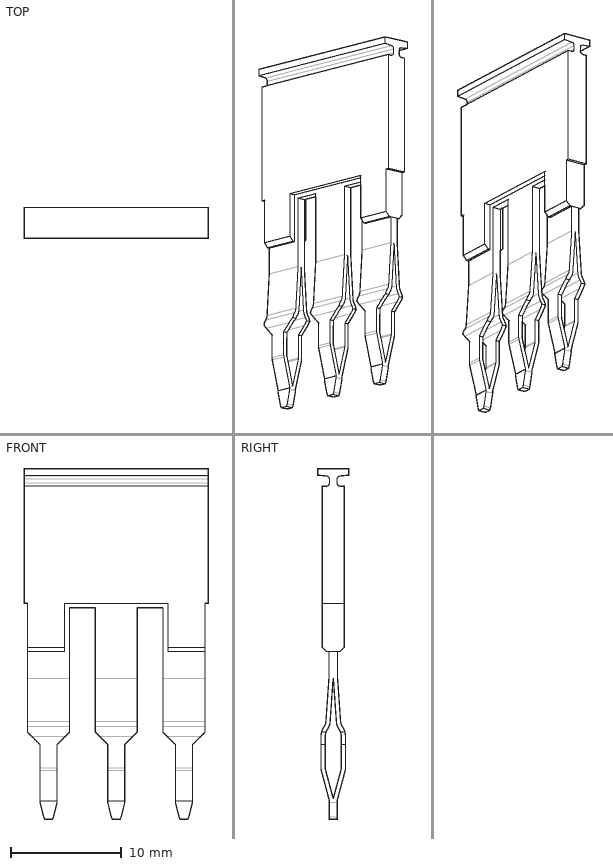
import cadquery as cq
import math


housing_width = 16.6
housing_thickness = 2.0
cap_width = 2.8
cap_edge_height = 0.6
cap_underside_drop = 0.1
neck_thickness = 0.7
neck_fillet = 0.27
selection_margin = 0.01
body_top = -1.57
body_bottom = -12.15
housing_leg_bottom = -16.5
housing_leg_chamfer = 0.4
housing_leg_inner_x = 4.65

pitch = 6.1
leg_count = 3
leg_width = 3.8
stem_thickness = 0.8
bridge_bottom = -12.55
bridge_height = 3.0
end_wall = 0.4

leaf_thickness = stem_thickness / 2
split_level = -18.9
flare_level = -22.8
flare_lean = math.radians(4)
shoulder_lean = math.radians(35)
flare_radius = 0.9
shoulder_radius = 1.55
belly_bottom = -27.0
belly_radius = 0.8
closing_lean = math.radians(-15)
tip_top = -29.95
tip_bottom = -31.6
tip_thickness = 0.74

contact_width = 1.55
tip_end_width = 0.7
tip_corner_level = -31.4
tip_corner_width = 0.9
taper_top = -23.75
point_top = -30.1

comb_half_width = pitch * (leg_count - 1) / 2 + leg_width / 2
seat_half_width = comb_half_width - end_wall
bridge_top = bridge_bottom + bridge_height


def block(x_min, x_max, thickness, z_min, z_max):
    """Box between the given X and Z limits, centred on Y = 0."""
    return (
        cq.Workplane("XY")
        .box(x_max - x_min, thickness, z_max - z_min)
        .translate(((x_min + x_max) / 2, 0, (z_min + z_max) / 2))
    )


def extrude_along_x(profile, width):
    """Extrude a YZ profile symmetrically about X = 0."""
    return profile.extrude(width / 2, both=True)


def capped_body():
    """T-shaped cap, narrow neck and flat body over the full housing width."""
    cap_y = cap_width / 2
    neck_y = neck_thickness / 2
    body_y = housing_thickness / 2
    cap_bottom = -cap_edge_height
    neck_top = cap_bottom - cap_underside_drop
    half_profile = (
        cq.Workplane("YZ")
        .moveTo(0, 0)
        .lineTo(cap_y, 0)
        .lineTo(cap_y, cap_bottom)
        .lineTo(neck_y, neck_top)
        .lineTo(neck_y, body_top)
        .lineTo(body_y, body_top)
        .lineTo(body_y, body_bottom)
        .lineTo(0, body_bottom)
        .close()
    )
    half = extrude_along_x(half_profile, housing_width)
    neck_edges = cq.selectors.BoxSelector(
        (-housing_width, neck_y - selection_margin, body_top - selection_margin),
        (housing_width, neck_y + selection_margin, neck_top + selection_margin),
    )
    half = half.edges("|X").edges(neck_edges).fillet(neck_fillet)
    return half.union(half.mirror("XZ"))


def housing_leg(x_min, x_max):
    """Short leg over an outer comb leg, chamfered along its lower front and back edges."""
    leg = block(x_min, x_max, housing_thickness, housing_leg_bottom, body_bottom)
    return leg.faces("<Z").edges("|X").chamfer(housing_leg_chamfer)


def build_housing(comb):
    housing = capped_body()
    housing = housing.union(housing_leg(-comb_half_width, -housing_leg_inner_x))
    housing = housing.union(housing_leg(housing_leg_inner_x, comb_half_width))
    return housing.cut(comb)


def bend_end(start, lean_in, lean_out, radius):
    """End of a downward arc on the outer leaf face that turns between two leans."""
    side = 1 if lean_out > lean_in else -1
    y = start[0] + side * radius * (math.cos(lean_in) - math.cos(lean_out))
    z = start[1] - side * radius * (math.sin(lean_out) - math.sin(lean_in))
    return (y, z)


def inner_point(outer, lean):
    """Point on the inner leaf face straight across from an outer one."""
    y = outer[0] - leaf_thickness * math.cos(lean)
    z = outer[1] - leaf_thickness * math.sin(lean)
    return (y, z)


def leaf():
    """One bowed leaf on the +Y side, from the stem to the tip, at full leg width."""
    stem_y = stem_thickness / 2
    flare_y = stem_y + (split_level - flare_level) * math.tan(flare_lean)
    flare = (flare_y, flare_level)
    shoulder = bend_end(flare, flare_lean, shoulder_lean, flare_radius)
    belly_start = bend_end(shoulder, shoulder_lean, 0, shoulder_radius)
    belly_end = (belly_start[0], belly_bottom)
    closing = bend_end(belly_end, 0, closing_lean, belly_radius)
    closing_y = closing[0] + (closing[1] - tip_top) * math.tan(closing_lean)
    closing_inner_y = closing_y - leaf_thickness / math.cos(closing_lean)
    profile = (
        cq.Workplane("YZ")
        .moveTo(stem_y, split_level)
        .lineTo(*flare)
        .tangentArcPoint(shoulder, relative=False)
        .tangentArcPoint(belly_start, relative=False)
        .lineTo(*belly_end)
        .tangentArcPoint(closing, relative=False)
        .lineTo(closing_y, tip_top)
        .lineTo(closing_inner_y, tip_top)
        .lineTo(*inner_point(closing, closing_lean))
        .tangentArcPoint(inner_point(belly_end, 0), relative=False)
        .lineTo(*inner_point(belly_start, 0))
        .tangentArcPoint(inner_point(shoulder, shoulder_lean), relative=False)
        .tangentArcPoint(inner_point(flare, flare_lean), relative=False)
        .lineTo(stem_y - leaf_thickness / math.cos(flare_lean), split_level)
        .close()
    )
    return extrude_along_x(profile, leg_width)


def leg_outline():
    """Front outline of a leg: wide stem, 45 degree taper, narrow contact and pointed tip."""
    leg_x = leg_width / 2
    contact_x = contact_width / 2
    tip_corner_x = tip_corner_width / 2
    tip_x = tip_end_width / 2
    taper_bottom = taper_top - (leg_x - contact_x)
    right_side = [
        (leg_x, bridge_bottom),
        (leg_x, taper_top),
        (contact_x, taper_bottom),
        (contact_x, point_top),
        (tip_corner_x, tip_corner_level),
        (tip_x, tip_bottom),
    ]
    left_side = [(-x, z) for x, z in reversed(right_side)]
    outline = cq.Workplane("XZ").polyline(right_side + left_side).close()
    return outline.extrude(cap_width, both=True)


def comb_leg():
    """Stem, pair of leaves and solid tip, trimmed to the front outline."""
    leg_x = leg_width / 2
    stem = block(-leg_x, leg_x, stem_thickness, split_level, bridge_bottom)
    tip = block(-leg_x, leg_x, tip_thickness, tip_bottom, tip_top)
    one_leaf = leaf()
    leg = stem.union(one_leaf).union(one_leaf.mirror("XZ")).union(tip)
    return leg.intersect(leg_outline())


def build_comb():
    comb = block(-seat_half_width, seat_half_width, stem_thickness, bridge_bottom, bridge_top)
    leg = comb_leg()
    for index in range(leg_count):
        x = (index - (leg_count - 1) / 2) * pitch
        comb = comb.union(leg.translate((x, 0, 0)))
    for side in (-1, 1):
        x_limits = sorted((side * seat_half_width, side * comb_half_width))
        comb = comb.cut(block(*x_limits, stem_thickness, housing_leg_bottom, bridge_top))
    return comb


comb = build_comb()
housing = build_housing(comb)
result = cq.Compound.makeCompound([*housing.solids().vals(), *comb.solids().vals()])